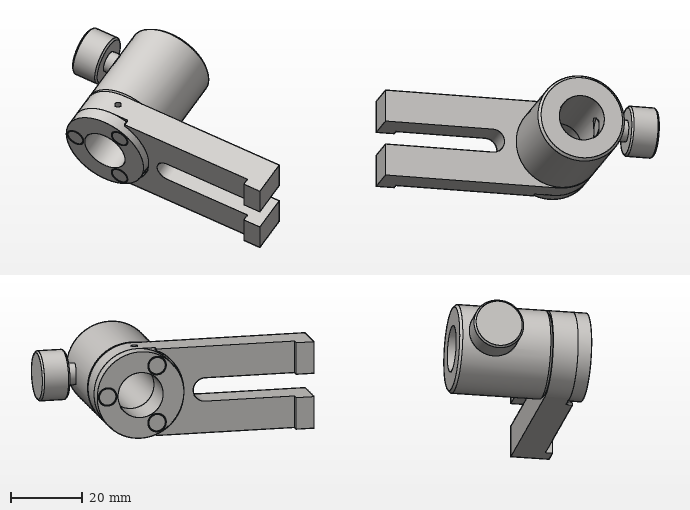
import cadquery as cq
import math


overall_length = 73.0
body_diameter = 25.0
body_radius = body_diameter / 2
bore_diameter = 13.0
bore_radius = bore_diameter / 2
overall_depth = 37.5

flange_thickness = 3.9
hub_diameter = 18.25
hub_radius = hub_diameter / 2

arm_front = 2.05
arm_back = 10.95
arm_end = 50.0
foot_length = 5.2
slot_width = 6.7
slot_start = 15.7
shoulder_x = 5.1
recess_radius = 13.0
pin_hole_diameter = 1.75

barrel_chamfer = 0.7

plug_count = 3
plug_diameter = 5.05
plug_circle_radius = 9.5
plug_depth = 2.9
plug_chamfer = 0.15
first_plug_angle = 60

knob_diameter = 14.15
knob_thickness = 7.95
knob_chamfer = 0.5
stem_diameter = 6.1
thumbscrew_y = 28.5
knob_outer_x = arm_end - overall_length


def y_cylinder(radius, y_start, y_end, x=0, z=0):
    """Cylinder parallel to Y between two Y positions."""
    start = cq.Vector(x, y_start, z)
    return cq.Workplane(cq.Solid.makeCylinder(radius, y_end - y_start, start, cq.Vector(0, 1, 0)))


def x_cylinder(radius, x_start, x_end):
    """Cylinder on the thumbscrew axis between two X positions."""
    start = cq.Vector(x_start, thumbscrew_y, 0)
    return cq.Workplane(cq.Solid.makeCylinder(radius, x_end - x_start, start, cq.Vector(1, 0, 0)))


def block(x_start, x_end, y_start, y_end, height):
    """Box between X and Y limits, centred on Z = 0."""
    box = cq.Workplane().box(x_end - x_start, y_end - y_start, height, centered=(False, False, True))
    return box.translate((x_start, y_start, 0))


def make_barrel():
    """Chamfered tube with a radial hole for the thumbscrew stem."""
    barrel = y_cylinder(body_radius, arm_back, overall_depth).edges("%CIRCLE").chamfer(barrel_chamfer)
    bore = y_cylinder(bore_radius, arm_back, overall_depth)
    stem_hole = x_cylinder(stem_diameter / 2, -body_radius, -bore_radius / 2)
    return barrel.cut(bore).cut(stem_hole)


def make_arm():
    """Forked arm with a round end, a clamping foot and a recess around the flange."""
    round_end = y_cylinder(body_radius, arm_front, arm_back)
    bar = block(0, arm_end, arm_front, arm_back, body_diameter)
    foot = block(arm_end - foot_length, arm_end, 0, arm_front, body_diameter)
    arm = round_end.union(bar).union(foot)

    slot_radius = slot_width / 2
    slot_centre_x = slot_start + slot_radius
    arm = arm.cut(y_cylinder(slot_radius, arm_front, arm_back, slot_centre_x))
    arm = arm.cut(block(slot_centre_x, arm_end, 0, arm_back, slot_width))

    arm = arm.cut(y_cylinder(recess_radius, arm_front, flange_thickness))
    arm = arm.cut(block(-body_radius, shoulder_x, arm_front, flange_thickness, body_diameter))

    arm = arm.cut(y_cylinder(hub_radius, flange_thickness, arm_back))
    pin_hole_y = (flange_thickness + arm_back) / 2
    pin_hole = cq.Workplane().circle(pin_hole_diameter / 2).extrude(body_radius)
    return arm.cut(pin_hole.translate((0, pin_hole_y, 0)))


def plug_positions():
    """X and Z of each plug centre, evenly spaced around the clamp axis."""
    angles = [math.radians(first_plug_angle + index * 360 / plug_count) for index in range(plug_count)]
    return [(plug_circle_radius * math.cos(angle), plug_circle_radius * math.sin(angle)) for angle in angles]


def rim_cone(x, z):
    """Cone that chamfers the front rim of a plug hole."""
    inner_radius = plug_diameter / 2
    outer_radius = inner_radius + plug_chamfer
    start = cq.Vector(x, 0, z)
    direction = cq.Vector(0, 1, 0)
    return cq.Workplane(cq.Solid.makeCone(outer_radius, inner_radius, plug_chamfer, start, direction))


def make_flanged_hub():
    """Bored flange with a hub that carries the arm, and blind plug holes with chamfered rims."""
    flange = y_cylinder(body_radius, 0, flange_thickness)
    hub = y_cylinder(hub_radius, flange_thickness, arm_back)
    flanged_hub = flange.union(hub).cut(y_cylinder(bore_radius, 0, arm_back))
    for x, z in plug_positions():
        flanged_hub = flanged_hub.cut(y_cylinder(plug_diameter / 2, 0, plug_depth, x, z))
        flanged_hub = flanged_hub.cut(rim_cone(x, z))
    return flanged_hub


def make_plug(x, z):
    """Round plug flush with the front face, chamfered around its front rim."""
    plug = y_cylinder(plug_diameter / 2, 0, plug_depth, x, z)
    return plug.faces("<Y").edges().chamfer(plug_chamfer)


def make_thumbscrew():
    """Knob with chamfered rims on a stem that reaches the shaft bore."""
    knob_inner_x = knob_outer_x + knob_thickness
    knob = x_cylinder(knob_diameter / 2, knob_outer_x, knob_inner_x)
    knob = knob.edges("%CIRCLE").chamfer(knob_chamfer)
    stem = x_cylinder(stem_diameter / 2, knob_inner_x, -bore_radius)
    return knob.union(stem)


barrel = make_barrel()
arm = make_arm()
flanged_hub = make_flanged_hub()
plugs = [make_plug(x, z) for x, z in plug_positions()]
thumbscrew = make_thumbscrew()

result = cq.Compound.makeCompound(
    [barrel.val(), arm.val(), flanged_hub.val(), *[plug.val() for plug in plugs], thumbscrew.val()]
)